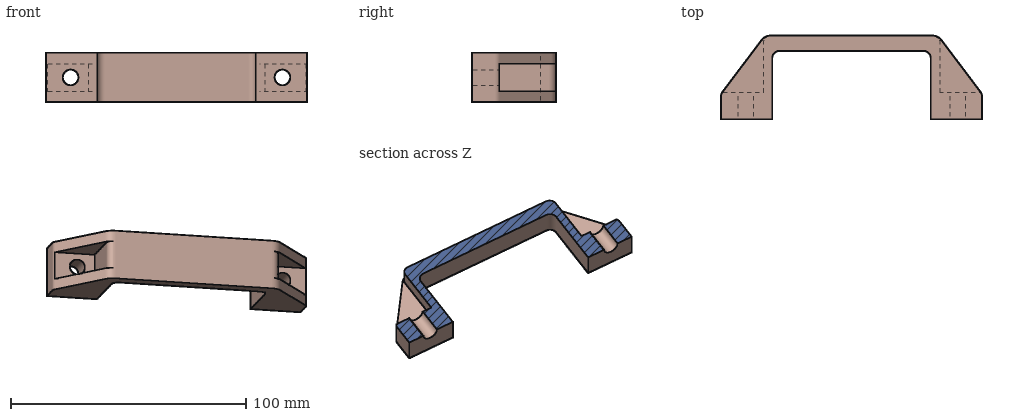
import cadquery as cq

length = 111.0
height = 35.7
width = 21.0

leg_width = 21.9
grip_thickness = 6.7
shoulder_height = 10.9
shoulder_inset = 18.8
shoulder_radius = 3.0
grip_corner_radius = 5.0
inner_corner_radius = 3.0

hole_spacing = 90.0
hole_diameter = 6.5
recess_width = 11.7
recess_floor_height = 11.7
recess_wall_inset = 18.0
recess_lip_radius = 3.0

half_length = length / 2
half_opening = half_length - leg_width


def handle_body():
    """Bridge-shaped outline extruded across the width, centred on Z = 0."""
    shoulder_x = half_length - shoulder_inset
    outer = (
        cq.Workplane("XY")
        .polyline([
            (-half_length, 0),
            (half_length, 0),
            (half_length, shoulder_height),
            (shoulder_x, height),
            (-shoulder_x, height),
            (-half_length, shoulder_height),
        ])
        .close()
        .extrude(width / 2, both=True)
    )
    outer = outer.edges("|Z and >Y").fillet(grip_corner_radius)
    outer = outer.edges("|Z and (>X or <X)").edges(">Y").fillet(shoulder_radius)
    opening_depth = height - grip_thickness
    opening = (
        cq.Workplane("XY")
        .rect(2 * half_opening, 2 * opening_depth)
        .extrude(width / 2, both=True)
        .edges("|Z and >Y")
        .fillet(inner_corner_radius)
    )
    return outer.cut(opening)


def recess_cutter():
    """Right-hand recess: flat floor, upright back wall and a rounded lip meeting the grip."""
    wall_x = half_length - recess_wall_inset
    return (
        cq.Workplane("XY")
        .moveTo(half_length, recess_floor_height)
        .lineTo(wall_x, recess_floor_height)
        .lineTo(wall_x, height - recess_lip_radius)
        .radiusArc((wall_x - recess_lip_radius, height), -recess_lip_radius)
        .lineTo(half_length, height)
        .close()
        .extrude(recess_width / 2, both=True)
    )


def screw_holes():
    """Pair of cylinders along Y, long enough to reach into the recesses."""
    return (
        cq.Workplane("XZ")
        .pushPoints([(-hole_spacing / 2, 0), (hole_spacing / 2, 0)])
        .circle(hole_diameter / 2)
        .extrude(-recess_floor_height)
    )


right_recess = recess_cutter()
left_recess = right_recess.mirror("YZ")
result = handle_body().cut(right_recess).cut(left_recess).cut(screw_holes())